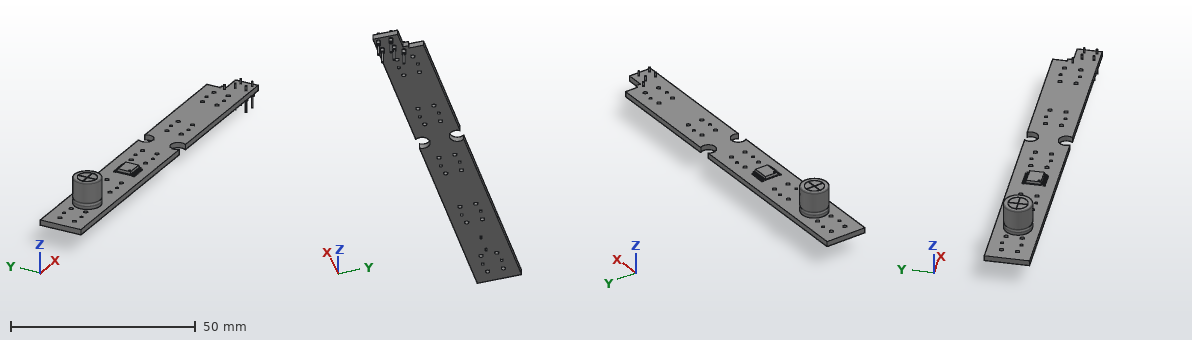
import cadquery as cq
import math

BOARD_LENGTH = 101.0
BOARD_WIDTH = 12.5
BOARD_THICKNESS = 1.6
STEP_X = 94.9
LOWER_STEP_X = 95.8
STEP_Y = 8.5
TONGUE_WIDTH = 7.0
NOTCH_X = 57.8
NOTCH_DIAMETER = 4.3
NOTCH_INSET = 1.3

GROUP_COUNT = 5
FIRST_GROUP_X = 7.0
GROUP_PITCH = 20.3
CORNER_HOLE_DIAMETER = 1.1
CORNER_HOLE_SPACING_X = 6.5
CORNER_HOLE_SPACING_Y = 4.4
MIDDLE_HOLE_DIAMETER = 0.8
MIDDLE_HOLE_SPACING_Y = 5.4

CAN_X = 15.0
CAN_Y = 6.2
CAN_DIAMETER = 8.0
CAN_HEIGHT = 8.0
CAN_FILLET = 0.2
CRIMP_BOTTOM = 1.1
CRIMP_TOP = 1.9
CRIMP_DEPTH = 0.2
VENT_DIAMETER = 5.5
VENT_DEPTH = 0.1
SCORE_WIDTH = 0.1
SCORE_DEPTH = 0.1
LEAD_DIAMETER = 0.5
LEAD_SPACING = 5.0
LEAD_PROTRUSION = 0.6

CHIP_X = 37.9
CHIP_Y = 6.0
CHIP_LENGTH = 5.0
CHIP_WIDTH = 4.4
CHIP_STANDOFF = 0.1
CHIP_PARTING_HEIGHT = 0.5
CHIP_HEIGHT = 1.2
CHIP_DRAFT = 16.0
CHIP_LEADS_PER_SIDE = 8
CHIP_LEAD_PITCH = 0.65
CHIP_LEAD_WIDTH = 0.3
CHIP_LEAD_THICKNESS = 0.15
CHIP_LEAD_SPAN = 6.4
CHIP_FOOT_LENGTH = 0.6
CHIP_DOT_DIAMETER = 0.5
CHIP_DOT_DEPTH = 0.1
CHIP_DOT_INSET = 0.6

PIN_DIAMETER = 0.5
PIN_RISE = 1.3
PIN_DROP = 4.9
COLLAR_DIAMETER = 1.1
COLLAR_HEIGHT = 1.3
PIN_POINTS = [(94.5, 6.9), (96.7, 4.7), (99.8, 4.7), (96.7, 1.4), (99.8, 1.2)]

LEAD_POINTS = [(CAN_X + side * LEAD_SPACING / 2, CAN_Y) for side in (-1, 1)]


def drill(board, points, diameter):
    cutters = cq.Workplane("XY").pushPoints(points).circle(diameter / 2).extrude(BOARD_THICKNESS)
    return board.cut(cutters)


def make_board():
    board = (
        cq.Workplane("XY")
        .polyline([
            (0, 0),
            (BOARD_LENGTH, 0),
            (BOARD_LENGTH, TONGUE_WIDTH),
            (LOWER_STEP_X, TONGUE_WIDTH),
            (LOWER_STEP_X, STEP_Y),
            (STEP_X, STEP_Y),
            (STEP_X, BOARD_WIDTH),
            (0, BOARD_WIDTH),
        ])
        .close()
        .extrude(BOARD_THICKNESS)
    )
    notch_points = [(NOTCH_X, NOTCH_INSET), (NOTCH_X, BOARD_WIDTH - NOTCH_INSET)]
    board = drill(board, notch_points, NOTCH_DIAMETER)

    for group in range(GROUP_COUNT):
        group_x = FIRST_GROUP_X + group * GROUP_PITCH
        corner_points = []
        middle_points = []
        for side_y in (-1, 1):
            middle_points.append((group_x, BOARD_WIDTH / 2 + side_y * MIDDLE_HOLE_SPACING_Y / 2))
            corner_y = BOARD_WIDTH / 2 + side_y * CORNER_HOLE_SPACING_Y / 2
            for side_x in (-1, 1):
                corner_points.append((group_x + side_x * CORNER_HOLE_SPACING_X / 2, corner_y))
        board = drill(board, corner_points, CORNER_HOLE_DIAMETER)
        board = drill(board, middle_points, MIDDLE_HOLE_DIAMETER)

    board = drill(board, LEAD_POINTS, LEAD_DIAMETER)
    return drill(board, PIN_POINTS, PIN_DIAMETER)


def make_capacitor():
    radius = CAN_DIAMETER / 2
    crimp_middle = (CRIMP_BOTTOM + CRIMP_TOP) / 2
    can = (
        cq.Workplane("XZ")
        .moveTo(0, 0)
        .lineTo(radius, 0)
        .lineTo(radius, CRIMP_BOTTOM)
        .threePointArc((radius - CRIMP_DEPTH, crimp_middle), (radius, CRIMP_TOP))
        .lineTo(radius, CAN_HEIGHT)
        .lineTo(0, CAN_HEIGHT)
        .close()
        .revolve(360, (0, 0), (0, 1))
        .edges("%CIRCLE")
        .fillet(CAN_FILLET)
    )
    vent_floor = CAN_HEIGHT - VENT_DEPTH
    vent = cq.Workplane("XY").workplane(offset=vent_floor).circle(VENT_DIAMETER / 2).extrude(VENT_DEPTH)
    score_along_x = (
        cq.Workplane("XY")
        .workplane(offset=vent_floor - SCORE_DEPTH)
        .rect(VENT_DIAMETER, SCORE_WIDTH)
        .extrude(SCORE_DEPTH)
    )
    score_along_y = score_along_x.rotate((0, 0, 0), (0, 0, 1), 90)
    can = can.cut(vent).cut(score_along_x).cut(score_along_y)
    can = can.translate((CAN_X, CAN_Y, BOARD_THICKNESS))

    leads = (
        cq.Workplane("XY")
        .workplane(offset=-LEAD_PROTRUSION)
        .pushPoints(LEAD_POINTS)
        .circle(LEAD_DIAMETER / 2)
        .extrude(LEAD_PROTRUSION + BOARD_THICKNESS)
    )
    return can.union(leads)


def make_chip_lead():
    """One lead on the +Y side: it leaves the body at the parting line, bends down and ends in a flat foot."""
    tip = CHIP_LEAD_SPAN / 2
    heel = tip - CHIP_FOOT_LENGTH
    thickness = CHIP_LEAD_THICKNESS
    shoulder_top = CHIP_PARTING_HEIGHT + thickness / 2
    inner_end = CHIP_WIDTH / 4
    return (
        cq.Workplane("YZ")
        .polyline([
            (inner_end, shoulder_top),
            (heel + thickness, shoulder_top),
            (heel + thickness, thickness),
            (tip, thickness),
            (tip, 0),
            (heel, 0),
            (heel, shoulder_top - thickness),
            (inner_end, shoulder_top - thickness),
        ])
        .close()
        .extrude(CHIP_LEAD_WIDTH / 2, both=True)
    )


def make_tapered_block(height):
    """Chip-sized block that narrows upwards from its base at Z = 0."""
    return cq.Workplane("XY").rect(CHIP_LENGTH, CHIP_WIDTH).extrude(height, taper=CHIP_DRAFT)


def make_chip():
    upper_height = CHIP_HEIGHT - CHIP_PARTING_HEIGHT
    lower_height = CHIP_PARTING_HEIGHT - CHIP_STANDOFF
    taper_inset = upper_height * math.tan(math.radians(CHIP_DRAFT))
    upper_half = make_tapered_block(upper_height)
    lower_half = make_tapered_block(lower_height).mirror("XY")
    chip = upper_half.union(lower_half).translate((0, 0, CHIP_PARTING_HEIGHT))

    lead = make_chip_lead()
    for index in range(CHIP_LEADS_PER_SIDE):
        lead_x = (index - (CHIP_LEADS_PER_SIDE - 1) / 2) * CHIP_LEAD_PITCH
        back_lead = lead.translate((lead_x, 0, 0))
        chip = chip.union(back_lead).union(back_lead.mirror("XZ"))

    dot_x = -CHIP_LENGTH / 2 + taper_inset + CHIP_DOT_INSET
    dot_y = -CHIP_WIDTH / 2 + taper_inset + CHIP_DOT_INSET
    dot = (
        cq.Workplane("XY")
        .workplane(offset=CHIP_HEIGHT - CHIP_DOT_DEPTH)
        .center(dot_x, dot_y)
        .circle(CHIP_DOT_DIAMETER / 2)
        .extrude(CHIP_DOT_DEPTH)
    )
    return chip.cut(dot).translate((CHIP_X, CHIP_Y, BOARD_THICKNESS))


def make_pin(x, y):
    """Round pin through the board, with a collar against the underside."""
    shaft = (
        cq.Workplane("XY", origin=(x, y, -PIN_DROP))
        .circle(PIN_DIAMETER / 2)
        .extrude(PIN_DROP + BOARD_THICKNESS + PIN_RISE)
    )
    collar = (
        cq.Workplane("XY", origin=(x, y, -COLLAR_HEIGHT))
        .circle(COLLAR_DIAMETER / 2)
        .extrude(COLLAR_HEIGHT)
    )
    return shaft.union(collar)


board = make_board()
capacitor = make_capacitor()
chip = make_chip()
pins = [make_pin(x, y) for x, y in PIN_POINTS]

result = cq.Compound.makeCompound([
    board.val(),
    capacitor.val(),
    chip.val(),
    *[pin.val() for pin in pins],
])